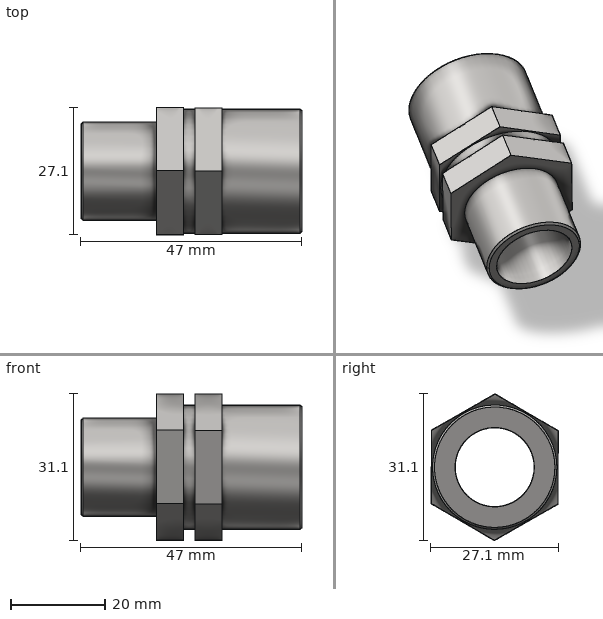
import cadquery as cq

length = 47.0
left_end = -length / 2
right_end = length / 2
spigot_length = 16.0
nut_width = 5.85
nut_gap = 2.35

spigot_diameter = 20.95
body_diameter = 26.45
bore_diameter = 16.8
hex_corner_diameter = 31.15
end_chamfer = 0.4

first_nut_turn = -0.5

first_nut_start = left_end + spigot_length
second_nut_start = first_nut_start + nut_width + nut_gap


def cylinder(start, end, diameter):
    """Round bar along X between two stations."""
    return cq.Workplane("YZ", origin=(start, 0, 0)).circle(diameter / 2).extrude(end - start)


def hex_nut(start, turn=0):
    """Hexagonal collar with a corner at +Z, turned about X by the given degrees."""
    corner_up = 90
    return (
        cq.Workplane("YZ", origin=(start, 0, 0))
        .polygon(6, hex_corner_diameter)
        .extrude(nut_width)
        .rotate((0, 0, 0), (1, 0, 0), corner_up + turn)
    )


spigot = cylinder(left_end, first_nut_start, spigot_diameter).faces("<X").chamfer(end_chamfer)
body = cylinder(first_nut_start, right_end, body_diameter).faces(">X").chamfer(end_chamfer)

first_nut = hex_nut(first_nut_start, first_nut_turn)
second_nut = hex_nut(second_nut_start)

bore = cylinder(left_end, right_end, bore_diameter)

result = spigot.union(body).union(first_nut).union(second_nut).cut(bore)